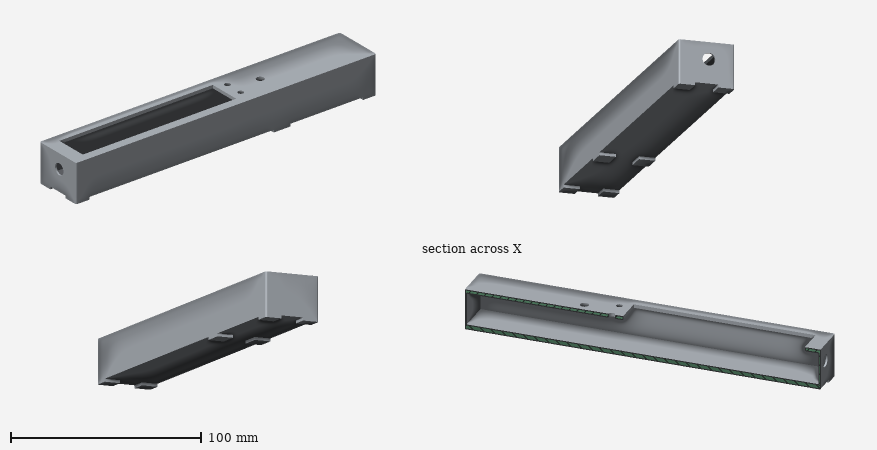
import cadquery as cq

length = 201.0
width = 31.0
height = 24.5
corner_radius = 1.0

foot_height = 1.6
plate_thickness = 2.0
foot_width = 9.0
end_foot_length = 8.8
middle_foot_length = 11.0
middle_foot_y = 37.4
lip_height = 0.6

wall = 1.0
roof = 2.0
housing_bottom = foot_height + plate_thickness
housing_height = height - housing_bottom

window_width = 19.9
window_length = 102.7
window_front_margin = 8.8

large_hole_diameter = 4.8
large_hole_y = 35.0
small_hole_diameter = 3.6
small_hole_y = 17.5
small_hole_spacing = 11.3

front_hole_diameter = 7.0
front_hole_x = 1.2
front_hole_z = 15.0


def rounded_bar(bottom, bar_height):
    """Full-footprint bar with rounded vertical corners."""
    bar = cq.Workplane("XY").workplane(offset=bottom).rect(width, length).extrude(bar_height)
    return bar.edges("|Z").fillet(corner_radius)


def inner_block(block_height):
    """Block standing on the plate and filling the space between the housing walls."""
    plate_top = cq.Workplane("XY").workplane(offset=housing_bottom)
    return plate_top.rect(width - 2 * wall, length - 2 * wall).extrude(block_height)


def top_hole(x, y, diameter):
    """Cutter for a round hole through the housing top."""
    roof_underside = cq.Workplane("XY").workplane(offset=height - roof)
    return roof_underside.center(x, y).circle(diameter / 2).extrude(roof)


def make_housing():
    """Thin-walled box, open at the bottom, with a window and holes."""
    housing = rounded_bar(housing_bottom, housing_height)

    cavity = inner_block(housing_height - roof)
    housing = housing.cut(cavity)

    window_y = -length / 2 + window_front_margin + window_length / 2
    window = (
        cq.Workplane("XY")
        .workplane(offset=height - roof)
        .center(0, window_y)
        .rect(window_width, window_length)
        .extrude(roof)
    )
    housing = housing.cut(window)

    housing = housing.cut(top_hole(0, large_hole_y, large_hole_diameter))
    for side in (-1, 1):
        housing = housing.cut(top_hole(side * small_hole_spacing / 2, small_hole_y, small_hole_diameter))

    front_hole = (
        cq.Workplane("XZ", origin=(front_hole_x, -length / 2, front_hole_z))
        .circle(front_hole_diameter / 2)
        .extrude(-wall)
    )
    return housing.cut(front_hole)


def make_base():
    """Closing plate with a lip on top and three pairs of feet along its long edges."""
    base = rounded_bar(0, housing_bottom)

    lengthwise_channel = (
        cq.Workplane("XY")
        .rect(width - 2 * foot_width, length)
        .extrude(foot_height)
    )
    base = base.cut(lengthwise_channel)

    middle_foot_front = middle_foot_y - middle_foot_length / 2
    middle_foot_back = middle_foot_y + middle_foot_length / 2
    inner_end = length / 2 - end_foot_length
    for front, back in ((-inner_end, middle_foot_front), (middle_foot_back, inner_end)):
        crosswise_channel = (
            cq.Workplane("XY")
            .center(0, (front + back) / 2)
            .rect(width, back - front)
            .extrude(foot_height)
        )
        base = base.cut(crosswise_channel)

    return base.union(inner_block(lip_height))


housing = make_housing()
base = make_base()

result = cq.Compound.makeCompound([housing.val(), base.val()])